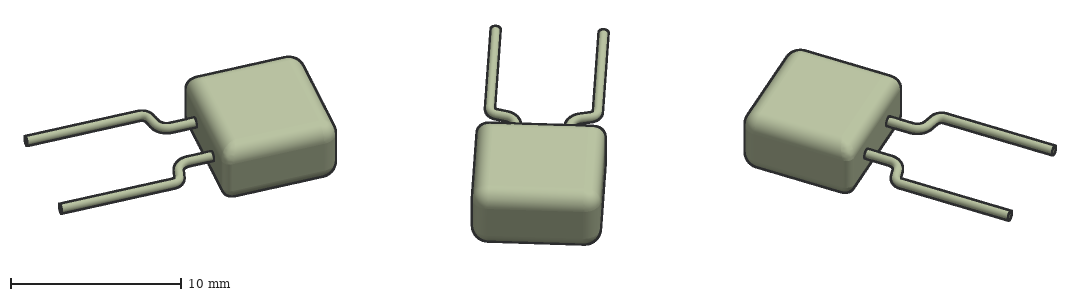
import cadquery as cq
import math

total_length = 17.16
case_width = 7.62
case_length = 7.2
case_height = 4.08

edge_radius = 1.0
front_corner_radius = 0.5

wire_diameter = 0.62
inner_spacing = 3.15
outer_spacing = 6.35
straight_exit = 1.51
first_bend_radius = 0.8
second_bend_radius = 0.53
bend_angle = math.radians(76)

lead_reach = total_length - case_length


def make_case():
    """Rounded block with tighter vertical corners on the lead side."""
    case = cq.Workplane("XY").box(
        case_width, case_length, case_height, centered=(True, False, True)
    )
    case = case.edges("|Z and <Y").fillet(front_corner_radius)
    case = case.edges("|Z and >Y").fillet(edge_radius)
    return case.faces("<Z or >Z").edges().fillet(edge_radius)


def bend_point(center, radius, angle, side):
    """Point on a bend; the angle is counted from the outward X direction."""
    return (
        side * (center[0] + radius * math.cos(angle)),
        center[1] + radius * math.sin(angle),
    )


def make_lead(side):
    """Wire with an outward S-bend; side is -1 for the left and +1 for the right."""
    inner_x = inner_spacing / 2
    outer_x = outer_spacing / 2

    bends_offset = (first_bend_radius + second_bend_radius) * (1 - math.cos(bend_angle))
    slope_length = (outer_x - inner_x - bends_offset) / math.sin(bend_angle)
    bends_drop = (first_bend_radius + second_bend_radius) * math.sin(bend_angle)
    bend_end_y = -straight_exit - bends_drop - slope_length * math.cos(bend_angle)

    first_center = (inner_x + first_bend_radius, -straight_exit)
    second_center = (outer_x - second_bend_radius, bend_end_y)
    first_angle = math.pi + bend_angle

    path = (
        cq.Workplane("XY")
        .moveTo(side * inner_x, 0)
        .lineTo(side * inner_x, -straight_exit)
        .threePointArc(
            bend_point(first_center, first_bend_radius, math.pi + bend_angle / 2, side),
            bend_point(first_center, first_bend_radius, first_angle, side),
        )
        .lineTo(*bend_point(second_center, second_bend_radius, bend_angle, side))
        .threePointArc(
            bend_point(second_center, second_bend_radius, bend_angle / 2, side),
            (side * outer_x, bend_end_y),
        )
        .lineTo(side * outer_x, -lead_reach)
    )
    profile = cq.Workplane("XZ").center(side * inner_x, 0).circle(wire_diameter / 2)
    return profile.sweep(path)


case = make_case()
leads = [make_lead(side) for side in (-1, 1)]

result = cq.Compound.makeCompound([case.val(), *[lead.val() for lead in leads]])